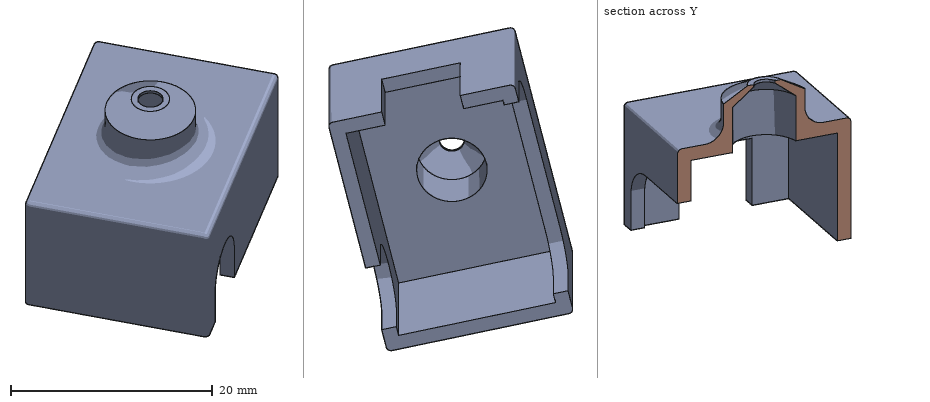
import cadquery as cq
import math

length_x = 19.0
length_y = 26.0
body_height = 13.2
edge_radius = 0.5
wall = 1.5
cavity_height = body_height - wall
half_x = length_x / 2
half_y = length_y / 2

boss_y = -0.5
boss_diameter = 9.0
flare_radius = 2.0
boss_cylinder_height = 2.0
boss_cone_height = 1.5
boss_cone_angle = 60.0
flare_top = body_height + flare_radius
cylinder_top = flare_top + boss_cylinder_height
tip_top = cylinder_top + boss_cone_height
tip_hole_diameter = 2.5
bore_diameter = 7.0
tip_thickness = 0.3
bore_cone_height = 1.8

opening_height = 7.3
opening_radius = 3.5
arch_min_y = -10.5
arch_max_y = arch_min_y + 2 * opening_radius
slot_max_y = 11.0
back_opening_width = 8.0


def make_body():
    block = cq.Workplane("XY").box(length_x, length_y, body_height, centered=(True, True, False))
    return block.edges("|Z or >Z").fillet(edge_radius)


def make_cavity():
    return cq.Workplane("XY").box(
        length_x - 2 * wall, length_y - 2 * wall, cavity_height, centered=(True, True, False)
    )


def make_boss():
    """Boss with a flared foot and a conical tip, rooted in the top wall."""
    radius = boss_diameter / 2
    tip_radius = radius - boss_cone_height * math.tan(math.radians(boss_cone_angle))
    flare_offset = flare_radius * (1 - math.sqrt(0.5))
    profile = (
        cq.Workplane("XZ")
        .moveTo(0, cavity_height)
        .lineTo(radius + flare_radius, cavity_height)
        .lineTo(radius + flare_radius, body_height)
        .threePointArc((radius + flare_offset, body_height + flare_offset), (radius, flare_top))
        .lineTo(radius, cylinder_top)
        .lineTo(tip_radius, tip_top)
        .lineTo(0, tip_top)
        .close()
    )
    return profile.revolve(360, (0, 0, 0), (0, 1, 0)).translate((0, boss_y, 0))


def make_boss_bore():
    """Straight bore that narrows in a cone to the short tip hole."""
    bore_radius = bore_diameter / 2
    hole_radius = tip_hole_diameter / 2
    cone_top = tip_top - tip_thickness
    cone_base = cone_top - bore_cone_height
    profile = (
        cq.Workplane("XZ")
        .polyline([
            (0, 0),
            (bore_radius, 0),
            (bore_radius, cone_base),
            (hole_radius, cone_top),
            (hole_radius, tip_top),
            (0, tip_top),
        ])
        .close()
    )
    return profile.revolve(360, (0, 0, 0), (0, 1, 0)).translate((0, boss_y, 0))


def make_side_opening(wall_start_x, min_y, max_y):
    """Opening with rounded upper corners through one wall, along X."""
    spring_height = opening_height - opening_radius
    arc_inset = opening_radius * (1 - math.sqrt(0.5))
    arc_height = opening_height - arc_inset
    profile = (
        cq.Workplane("YZ", origin=(wall_start_x, 0, 0))
        .moveTo(min_y, 0)
        .lineTo(min_y, spring_height)
        .threePointArc((min_y + arc_inset, arc_height), (min_y + opening_radius, opening_height))
    )
    if max_y - min_y > 2 * opening_radius:
        profile = profile.lineTo(max_y - opening_radius, opening_height)
    profile = (
        profile
        .threePointArc((max_y - arc_inset, arc_height), (max_y, spring_height))
        .lineTo(max_y, 0)
        .close()
    )
    return profile.extrude(wall)


def make_back_opening():
    """Rectangular opening in the middle of the +Y wall."""
    center_y = half_y - wall / 2
    return (
        cq.Workplane("XY", origin=(0, center_y, 0))
        .box(back_opening_width, wall, opening_height, centered=(True, True, False))
    )


result = make_body().union(make_boss())
result = result.cut(make_cavity()).cut(make_boss_bore())
result = result.cut(make_side_opening(-half_x, arch_min_y, slot_max_y))
result = result.cut(make_side_opening(half_x - wall, arch_min_y, arch_max_y))
result = result.cut(make_back_opening())